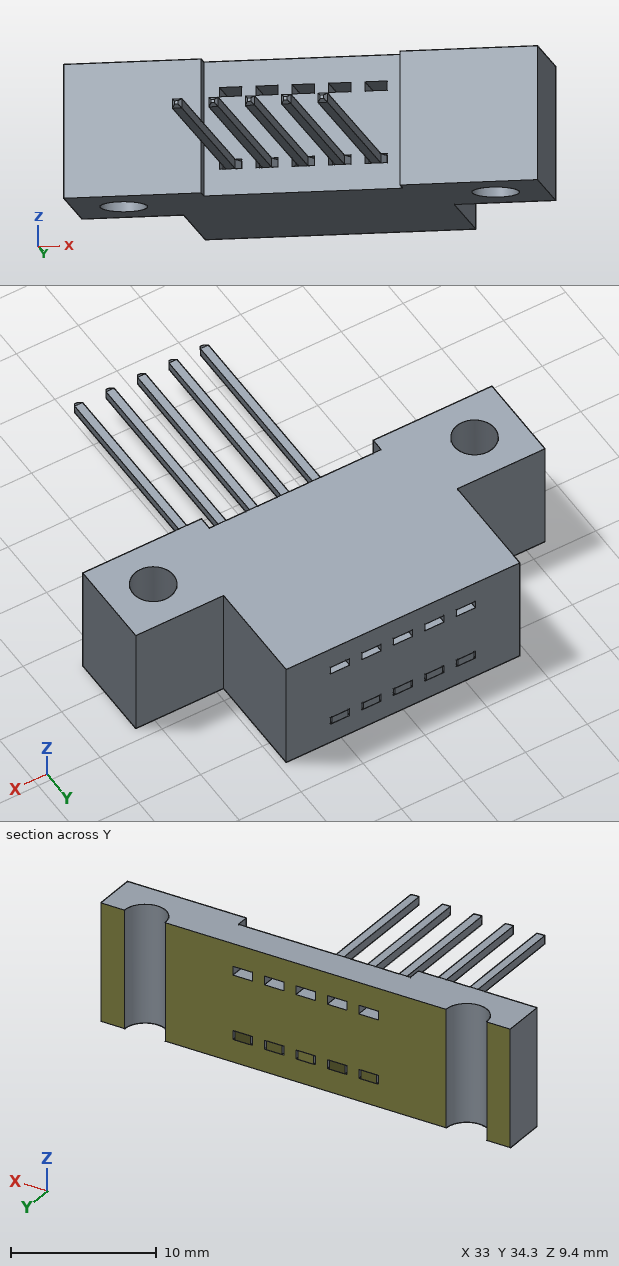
import cadquery as cq

total_length = 34.3
width = 33.03
height = 9.4
housing_depth = 15.02

ear_depth = 6.9
rear_block_width = 18.85
recess_width = 13.85
recess_depth = 1.03
hole_diameter = 3.25
hole_spacing = 25.93

contact_count = 5
contact_pitch = 2.55
slot_width = 1.55
slot_height = 0.65
row_inset = 2.15

blade_width = 1.3
pin_width = 0.65
shoulder_length = 0.75
tip_length = 0.35
tip_end_width = 0.25

rear_y = housing_depth
pin_end_y = housing_depth - total_length
pin_taper_y = pin_end_y + tip_length
shoulder_start_y = recess_depth
shoulder_end_y = shoulder_start_y + shoulder_length
lower_row_z = row_inset
upper_row_z = height - row_inset
contact_xs = [(i - (contact_count - 1) / 2) * contact_pitch for i in range(contact_count)]


def make_slot(x, z):
    """Rectangular cutter passing through the housing along Y."""
    return cq.Workplane("XY").box(slot_width, housing_depth, slot_height).translate((x, housing_depth / 2, z))


def make_housing():
    """Rear block with two drilled ears, a front recess and two rows of slots."""
    ears = cq.Workplane("XY").box(width, ear_depth, height, centered=(True, False, False))
    rear_block = cq.Workplane("XY").box(rear_block_width, housing_depth - recess_depth, height,
                                        centered=(True, False, False))
    recess = cq.Workplane("XY").box(recess_width, recess_depth, height, centered=(True, False, False))
    body = ears.union(rear_block.translate((0, recess_depth, 0))).cut(recess)

    hole_centers = [(side * hole_spacing / 2, ear_depth / 2) for side in (-1, 1)]
    holes = cq.Workplane("XY").pushPoints(hole_centers).circle(hole_diameter / 2).extrude(height)
    body = body.cut(holes)

    for x in contact_xs:
        for z in (lower_row_z, upper_row_z):
            body = body.cut(make_slot(x, z))
    return body


def make_contact(x):
    """Blade with sloping shoulders, narrowing to a square pin with a tapered tip."""
    half_blade = blade_width / 2
    half_pin = pin_width / 2
    blade_and_pin = (
        cq.Workplane("XY")
        .polyline([
            (-half_pin, pin_taper_y),
            (half_pin, pin_taper_y),
            (half_pin, shoulder_start_y),
            (half_blade, shoulder_end_y),
            (half_blade, rear_y),
            (-half_blade, rear_y),
            (-half_blade, shoulder_end_y),
            (-half_pin, shoulder_start_y),
        ])
        .close()
        .extrude(slot_height / 2, both=True)
    )
    tip = (
        cq.Workplane("XZ", origin=(0, pin_taper_y, 0))
        .rect(pin_width, slot_height)
        .workplane(offset=tip_length)
        .rect(tip_end_width, tip_end_width)
        .loft(ruled=True)
    )
    return blade_and_pin.union(tip).translate((x, 0, lower_row_z))


housing = make_housing()
contacts = [make_contact(x) for x in contact_xs]

result = cq.Compound.makeCompound([housing.solids().val(), *[contact.solids().val() for contact in contacts]])